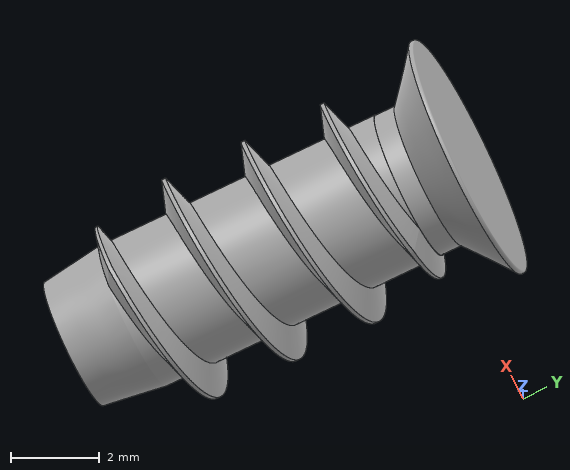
import cadquery as cq
import math

TOTAL_LENGTH = 10.0
HEAD_DIAMETER = 5.83
HEAD_RIM_THICKNESS = 0.1
HEAD_RIM_FILLET = 0.05
HEAD_HEIGHT = 1.05
NECK_LENGTH = 0.5
NECK_DIAMETER = 3.5
SHANK_DIAMETER = 3.52
POINT_LENGTH = 1.5
POINT_DIAMETER = 3.1

THREAD_DIAMETER = 5.0
THREAD_PITCH = 2.0
THREAD_CREST_WIDTH = 0.1
THREAD_ROOT_WIDTH = 0.6
THREAD_BURIED_RADIUS = 1.65
THREAD_PHASE_DEPTH = 0.45
RUNOUT_ANGLE = 115.0
RUNOUT_EASE = 1.3
RUNOUT_TIP_SCALE = 0.02
POINTS_PER_TURN = 24

shank_start = HEAD_HEIGHT + NECK_LENGTH
shank_end = TOTAL_LENGTH - POINT_LENGTH
head_radius = HEAD_DIAMETER / 2
neck_radius = NECK_DIAMETER / 2
shank_radius = SHANK_DIAMETER / 2
point_radius = POINT_DIAMETER / 2
crest_radius = THREAD_DIAMETER / 2

crest_half_width = THREAD_CREST_WIDTH / 2
root_half_width = THREAD_ROOT_WIDTH / 2
flank_slope = (root_half_width - crest_half_width) / (crest_radius - shank_radius)
buried_half_width = crest_half_width + flank_slope * (crest_radius - THREAD_BURIED_RADIUS)

profile_corners = [
    (THREAD_BURIED_RADIUS, -buried_half_width),
    (crest_radius, -crest_half_width),
    (crest_radius, crest_half_width),
    (THREAD_BURIED_RADIUS, buried_half_width),
]


def angle_at_depth(depth):
    """Thread angle in degrees at which the thread centre lies at this depth."""
    return (depth - THREAD_PHASE_DEPTH) / THREAD_PITCH * 360


full_start_angle = angle_at_depth(shank_start + root_half_width)
full_end_angle = angle_at_depth(shank_end - root_half_width)


def make_body():
    """Countersunk head with a rounded rim, neck, shank and tapered point, turned around Z."""
    return (
        cq.Workplane("XZ")
        .lineTo(head_radius, 0)
        .lineTo(head_radius, HEAD_RIM_THICKNESS)
        .lineTo(neck_radius, HEAD_HEIGHT)
        .lineTo(neck_radius, shank_start)
        .lineTo(shank_radius, shank_start)
        .lineTo(shank_radius, shank_end)
        .lineTo(point_radius, TOTAL_LENGTH)
        .lineTo(0, TOTAL_LENGTH)
        .close()
        .revolve(360, (0, 0, 0), (0, 1, 0))
        .faces("<Z")
        .edges()
        .fillet(HEAD_RIM_FILLET)
    )


def thread_corner(corner, angle):
    """Place one profile corner at a thread angle, faded inside the runouts."""
    radius, offset = corner
    if angle < full_start_angle:
        fade = (full_start_angle - angle) / RUNOUT_ANGLE
        full_angle = full_start_angle
        vanishing_depth = shank_start
    else:
        fade = max(0, angle - full_end_angle) / RUNOUT_ANGLE
        full_angle = min(angle, full_end_angle)
        vanishing_depth = shank_end
    fade *= 1 - RUNOUT_TIP_SCALE
    full_depth = THREAD_PHASE_DEPTH + THREAD_PITCH * full_angle / 360 + offset
    depth = full_depth + fade * (vanishing_depth - full_depth)
    radius -= (radius - THREAD_BURIED_RADIUS) * fade ** RUNOUT_EASE
    turn = math.radians(angle)
    return cq.Vector(radius * math.cos(turn), radius * math.sin(turn), depth)


def make_thread_section(start_angle, end_angle):
    """Solid stretch of thread, its four sides ruled between the corner curves."""
    steps = math.ceil((end_angle - start_angle) / 360 * POINTS_PER_TURN)
    angles = [start_angle + (end_angle - start_angle) * i / steps for i in range(steps + 1)]
    rails = [
        cq.Edge.makeSpline([thread_corner(corner, angle) for angle in angles])
        for corner in profile_corners
    ]
    faces = [cq.Face.makeRuledSurface(rails[i - 1], rails[i]) for i in range(len(rails))]
    for angle in (start_angle, end_angle):
        outline = [thread_corner(corner, angle) for corner in profile_corners]
        faces.append(cq.Face.makeFromWires(cq.Wire.makePolygon(outline, close=True)))
    return cq.Solid.makeSolid(cq.Shell.makeShell(faces))


def make_screw():
    """Join body and thread, then turn the axis so the point faces -Y."""
    screw = make_body()
    section_angles = [
        full_start_angle - RUNOUT_ANGLE,
        full_start_angle,
        full_end_angle,
        full_end_angle + RUNOUT_ANGLE,
    ]
    for start_angle, end_angle in zip(section_angles, section_angles[1:]):
        screw = screw.union(cq.Workplane(make_thread_section(start_angle, end_angle)))
    return screw.rotate((0, 0, 0), (1, 0, 0), 90)


result = make_screw()